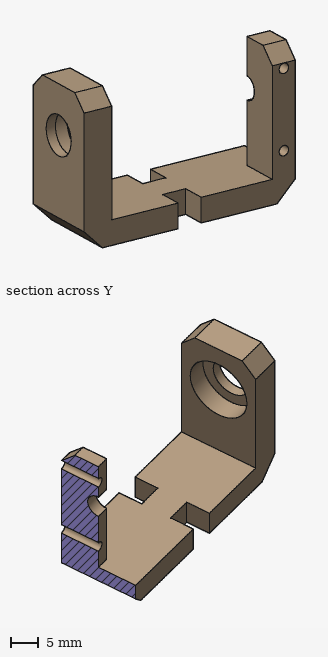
import cadquery as cq

width = 16.4
length = 45.9
height = 30.0

base_thickness = 5.0
base_bevel = 4.0
notch_depth = 5.0
notch_length = 5.0

wall_thickness = 6.0
post_thickness = 5.0
post_width = width / 2
top_chamfer = 3.0

axis_height = 20.0
bore_diameter = 8.0
bearing_diameter = 12.5
bearing_depth = 4.0
groove_diameter = 4.75

screw_diameter = 2.0
screw_heights = (10.0, 26.0)

right_side = width / 2
post_left = right_side - post_width
post_front = length - post_thickness


def make_base():
    """Plate with bevelled ends and a notch in the middle of each side."""
    profile = [
        (base_bevel, 0),
        (length - base_bevel, 0),
        (length, base_bevel),
        (length, base_thickness),
        (0, base_thickness),
        (0, base_bevel),
    ]
    base = cq.Workplane("YZ").polyline(profile).close().extrude(right_side, both=True)
    for side in (-1, 1):
        notch_x = side * (right_side - notch_depth / 2)
        notch = (
            cq.Workplane("XY")
            .center(notch_x, length / 2)
            .rect(notch_depth, notch_length)
            .extrude(base_thickness)
        )
        base = base.cut(notch)
    return base


def upright(left, front, thickness):
    """Block from the base top to full height, flush with the right side."""
    size_x = right_side - left
    return cq.Workplane("XY").box(size_x, thickness, height - base_thickness, centered=False).translate(
        (left, front, base_thickness)
    )


def axis_cylinder(diameter, front, depth):
    """Cylinder on the shaft axis, starting at the given Y."""
    return (
        cq.Workplane("XZ", origin=(0, front, axis_height))
        .circle(diameter / 2)
        .extrude(-depth)
    )


def make_wall():
    """Front wall with both top corners cut, a bore and a bearing seat from inside."""
    wall = upright(-right_side, 0, wall_thickness)
    wall = wall.edges("|Y and >Z").chamfer(top_chamfer)
    wall = wall.cut(axis_cylinder(bore_diameter, 0, wall_thickness))
    return wall.cut(axis_cylinder(bearing_diameter, wall_thickness - bearing_depth, bearing_depth))


def make_post():
    """Rear post with one top corner cut, a half-round groove and two screw holes."""
    post = upright(post_left, post_front, post_thickness)
    post = post.edges("|Y and >Z and >X").chamfer(top_chamfer)
    post = post.cut(axis_cylinder(groove_diameter, post_front, post_thickness))
    for screw_height in screw_heights:
        screw_hole = (
            cq.Workplane("YZ", origin=(post_left, post_front + post_thickness / 2, screw_height))
            .circle(screw_diameter / 2)
            .extrude(post_width)
        )
        post = post.cut(screw_hole)
    return post


result = make_base().union(make_wall()).union(make_post())